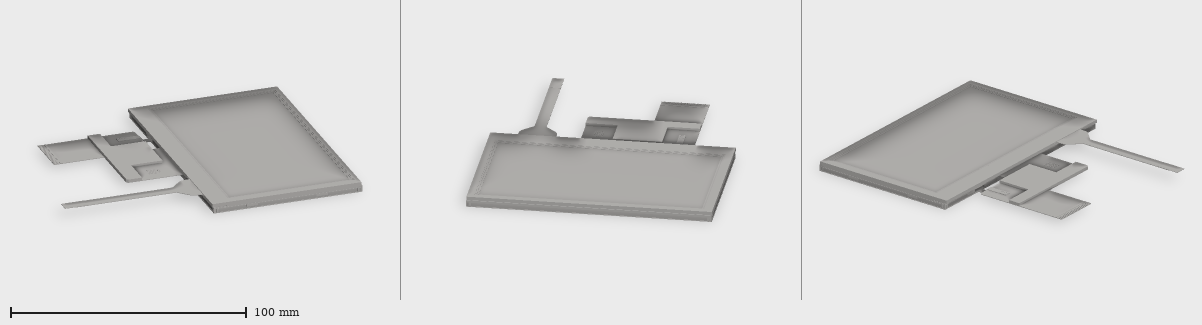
import cadquery as cq


embed = 2.5

width = 105.4
height = 4.5
back_y = 67.7
sheet_back_y = 67.3
frame_front_y = 0.8
frame_top = 2.2
sheet_bottom = 2.5
front_lip_bottom = 3.0
front_lip_depth = 6.6
lower_middle_inset = 0.1
upper_middle_inset = 0.4
rear_rim_top = 3.0

window_side_margin = 3.2
window_front_y = 7.8
window_back_y = 65.3
window_steps = [(0, 0.1), (0.6, 0.3), (1.5, 0.4)]

wall_recess = 0.3
wall_bottom = 0.3
wall_top = 1.9
corner_post = 2.0
seam_offset = 0.6
seam_width = 0.6
clip_length = 5.1
clip_bottom = 0.9
front_clips_x = [18.1, 87.1]
side_clips_y = [18.1, 49.5]

opening_depth = 1.3
led_opening = (21.2, 28.1)
flex_opening = (36.8, 69.0)
layer_thickness = 0.3
layer_pitch = 0.5
layer_count = 3

flex_left = 18.4
flex_right = 67.2
flex_back = -3.7
flex_front = -24.8
flex_bottom = 1.9
flex_top = 2.2
flex_corner = 0.8
flex_corner_reach = 0.1
board_top = 3.5
link_left = 38.2
left_notch_right = 32.2
left_notch_front = -19.3
right_notch_left = 53.4
right_notch_front = -17.9

tongue_right = 39.1
tongue_front = -47.4
contact_count = 40
contact_thickness = 0.1
contact_back = -45.5
contact_bar_y = (-44.6, -43.7)

pad_left = 58.4
pad_count = 5
pad_pitch = 0.9
pad_width = 0.4
pad_rows_y = [(-12.9, -9.2), (-8.3, -7.4)]

led_left = 23.5
led_width = 2.8
led_thickness = 0.3
led_bend_y = -1.8
led_front = -13.8
led_pad_back = -10.1
led_pad_split = -12.4
led_pad_width = 0.9
led_pad_gap = 0.1

touch_x = 85.3
touch_top = 4.2
touch_thickness = 0.3
touch_root_width = 20.7
touch_root_length = 0.1
flare_half = 8.3
flare_side_half = 8.0
flare_side_y = -3.7
flare_lower_half = 7.3
flare_lower_y = -5.1
strip_half = 2.5
strip_y = -9.8
touch_end_y = -60.0
touch_pad_y = -50.1
touch_thin_y = -55.2
touch_end_step = 0.06
touch_contact_thickness = 0.06
touch_contact_count = 4
touch_contact_width = 0.6


def block(x, y, z):
    """Box spanning the given (low, high) ranges."""
    size = [high - low for low, high in (x, y, z)]
    return cq.Workplane("XY").box(*size, centered=False).translate((x[0], y[0], z[0]))


def make_sheet():
    sheet = block((0, width), (0, sheet_back_y), (sheet_bottom, height))
    sheet = sheet.cut(block((0, width), (0, front_lip_depth), (sheet_bottom, front_lip_bottom)))
    for inset, depth in window_steps:
        x_range = (window_side_margin + inset, width - window_side_margin - inset)
        y_range = (window_front_y + inset, window_back_y - inset)
        sheet = sheet.cut(block(x_range, y_range, (height - depth, height)))
    return sheet


def make_frame():
    frame = block((0, width), (frame_front_y, back_y), (0, frame_top))
    wall_z = (wall_bottom, wall_top)

    x_range = (corner_post, width - corner_post)
    y_range = (frame_front_y + corner_post, back_y - corner_post)
    front = (frame_front_y, frame_front_y + wall_recess)
    back = (back_y - wall_recess, back_y)
    left = (0, wall_recess)
    right = (width - wall_recess, width)
    for y_wall in (front, back):
        frame = frame.cut(block(x_range, y_wall, wall_z))
        for x in (seam_offset, width - seam_offset - seam_width):
            frame = frame.cut(block((x, x + seam_width), y_wall, wall_z))
    for x_wall in (left, right):
        frame = frame.cut(block(x_wall, y_range, wall_z))
        for y in (frame_front_y + seam_offset, back_y - seam_offset - seam_width):
            frame = frame.cut(block(x_wall, (y, y + seam_width), wall_z))

    clip_z = (clip_bottom, wall_top)
    for x in front_clips_x:
        frame = frame.union(block((x - clip_length / 2, x + clip_length / 2), front, clip_z))
    for y in side_clips_y:
        for x_wall in (left, right):
            frame = frame.union(block(x_wall, (y - clip_length / 2, y + clip_length / 2), clip_z))

    opening_y = (frame_front_y, frame_front_y + opening_depth)
    for opening in (led_opening, flex_opening):
        frame = frame.cut(block(opening, opening_y, wall_z))

    for i in range(layer_count):
        bottom = wall_bottom + layer_pitch / 2 + layer_pitch * i
        frame = frame.union(block(flex_opening, opening_y, (bottom, bottom + layer_thickness)))
    return frame


def make_panel():
    panel = make_frame().union(make_sheet())

    layers = [
        (lower_middle_inset, frame_top, sheet_bottom),
        (upper_middle_inset, sheet_bottom, front_lip_bottom),
    ]
    for inset, bottom, top in layers:
        x_range = (inset, width - inset)
        y_range = (frame_front_y + inset, sheet_back_y)
        panel = panel.union(block(x_range, y_range, (bottom, top)))

    rear_rim = block((0, width), (sheet_back_y, back_y), (frame_top, rear_rim_top))
    return panel.union(rear_rim)


def make_main_flex():
    flex_x = (flex_left, flex_right)
    flex_y = (flex_front, flex_back)
    flex_z = (flex_bottom, flex_top)
    flex = block(flex_x, flex_y, flex_z)
    flex = flex.union(block((flex_left, tongue_right), (tongue_front, flex_back), flex_z))

    board_z = (flex_top, board_top)
    board = block(flex_x, flex_y, board_z)
    left_notch = block((flex_left, left_notch_right), (left_notch_front, flex_back), board_z)
    right_notch = block((right_notch_left, flex_right), (right_notch_front, flex_back), board_z)
    flex = flex.union(board.cut(left_notch).cut(right_notch))

    for x, y in ((flex_left, flex_back), (flex_right, flex_front)):
        low = (x - flex_corner_reach, y - flex_corner_reach, 0)
        high = (x + flex_corner_reach, y + flex_corner_reach, height)
        corner = cq.selectors.BoxSelector(low, high)
        flex = flex.edges("|Z").edges(corner).chamfer(flex_corner)
    return flex.union(block((link_left, flex_right), (flex_back - embed, embed), flex_z))


def make_contacts():
    """Bar and fingers at the end of the tongue, and the pads in the right notch."""
    pitch = (tongue_right - flex_left) / contact_count
    z_range = (flex_top, flex_top + contact_thickness)
    contacts = block((flex_left, tongue_right), contact_bar_y, z_range)
    for i in range(contact_count):
        x = flex_left + pitch * i + pitch / 4
        contacts = contacts.add(block((x, x + pitch / 2), (tongue_front, contact_back), z_range))
    for i in range(pad_count):
        x = pad_left + pad_pitch * i
        for row in pad_rows_y:
            contacts = contacts.add(block((x, x + pad_width), row, z_range))
    return contacts.combine()


def make_led_tail():
    top = flex_top + led_thickness
    profile = [
        (embed, 0),
        (led_bend_y, 0),
        (flex_back, flex_top),
        (led_front, flex_top),
        (led_front, top),
        (flex_back, top),
        (led_bend_y, led_thickness),
        (embed, led_thickness),
    ]
    tail = cq.Workplane("YZ").polyline(profile).close().extrude(led_width)
    tail = tail.translate((led_left, 0, 0))
    for x in (led_left, led_left + led_width - led_pad_width):
        for y_range in ((led_front, led_pad_split - led_pad_gap), (led_pad_split, led_pad_back)):
            pad = block((x, x + led_pad_width), y_range, (top, top + contact_thickness))
            tail = tail.union(pad)
    return tail


def make_touch_tail():
    bottom = touch_top - touch_thickness
    thin_bottom = touch_top - touch_thickness / 2
    right_side = [
        (flare_half, 0),
        (flare_side_half, flare_side_y),
        (flare_lower_half, flare_lower_y),
        (strip_half, strip_y),
        (strip_half, touch_end_y),
    ]
    left_side = [(-x, y) for x, y in reversed(right_side)]
    outline = [(-flare_half, embed), (flare_half, embed)] + right_side + left_side
    tail = cq.Workplane("XY").workplane(offset=bottom).polyline(outline).close().extrude(touch_thickness)
    root_x = (-touch_root_width / 2, touch_root_width / 2)
    tail = tail.union(block(root_x, (-touch_root_length, embed), (bottom, touch_top)))

    strip_x = (-strip_half, strip_half)
    raised_end = block(strip_x, (touch_end_y, touch_pad_y), (bottom, touch_top + touch_end_step))
    tail = tail.union(raised_end)
    tail = tail.cut(block(strip_x, (touch_end_y, touch_thin_y), (bottom, thin_bottom)))
    contact_pitch = 2 * strip_half / touch_contact_count
    contact_z = (thin_bottom - touch_contact_thickness, thin_bottom)
    for i in range(touch_contact_count):
        x = -strip_half + contact_pitch / 2 + contact_pitch * i
        x_range = (x - touch_contact_width / 2, x + touch_contact_width / 2)
        tail = tail.union(block(x_range, (touch_end_y, touch_thin_y), contact_z))
    return tail.translate((touch_x, 0, 0))


result = (
    make_panel()
    .union(make_main_flex())
    .union(make_contacts())
    .union(make_led_tail())
    .union(make_touch_tail())
)